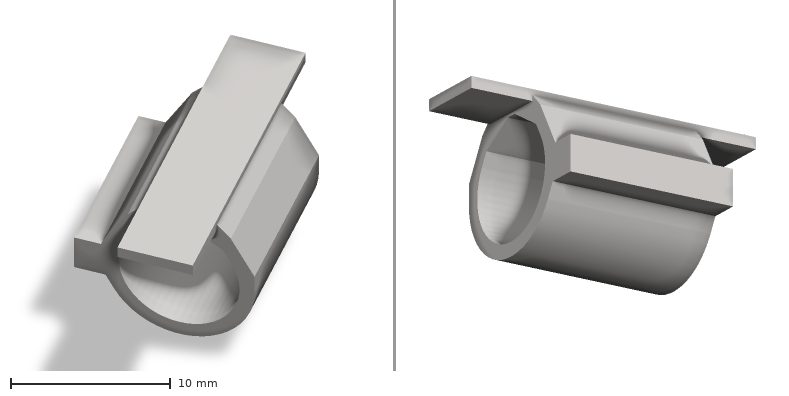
import cadquery as cq
import math

bore_radius = 4.0
wall = 1.0
sleeve_length = 12.0
outer_radius = bore_radius + wall

side_angle = math.radians(30)
roof_angle = math.radians(60)
bore_top = 4.39

shoulder_low_z = 4.075

plate_width = 5.0
plate_length = 21.0
plate_thickness = 0.8
plate_top = bore_top + wall
plate_bottom = plate_top - plate_thickness

tab_end_x = -7.0
tab_top = 1.0
tab_bottom = -1.5


def tangent_x(radius, normal_angle, z):
    """X at height z on the line tangent to a circle about the origin."""
    return (radius - z * math.sin(normal_angle)) / math.cos(normal_angle)


def extrude_centred(sketch, length):
    """Extrude an XZ sketch equally to both sides of the XZ plane."""
    return sketch.extrude(length / 2, both=True)


def make_body():
    """Outer body: round below, with steep flats, shoulders and the side tab."""
    half_plate = plate_width / 2
    shoulder_x = tangent_x(outer_radius, side_angle, shoulder_low_z)
    shoulder_high_z = shoulder_low_z + shoulder_x - half_plate
    flank_top_z = outer_radius * math.tan(side_angle / 2)
    tangent_point = (
        -outer_radius * math.cos(side_angle),
        -outer_radius * math.sin(side_angle),
    )
    sketch = (
        cq.Workplane("XZ")
        .moveTo(half_plate, plate_bottom)
        .lineTo(half_plate, shoulder_high_z)
        .lineTo(shoulder_x, shoulder_low_z)
        .lineTo(outer_radius, flank_top_z)
        .lineTo(outer_radius, 0)
        .threePointArc((0, -outer_radius), tangent_point)
        .lineTo(-tangent_x(outer_radius, -side_angle, tab_bottom), tab_bottom)
        .lineTo(tab_end_x, tab_bottom)
        .lineTo(tab_end_x, tab_top)
        .lineTo(-tangent_x(outer_radius, side_angle, tab_top), tab_top)
        .lineTo(-shoulder_x, shoulder_low_z)
        .lineTo(-half_plate, shoulder_high_z)
        .lineTo(-half_plate, plate_bottom)
        .close()
    )
    return extrude_centred(sketch, sleeve_length)


def make_bore():
    """Round bore with a peaked roof that ends in a narrow flat."""
    start_x = bore_radius * math.cos(side_angle)
    start_z = bore_radius * math.sin(side_angle)
    corner = bore_radius / (math.cos(side_angle) + math.sin(side_angle))
    flat_x = tangent_x(bore_radius, roof_angle, bore_top)
    sketch = (
        cq.Workplane("XZ")
        .moveTo(start_x, start_z)
        .threePointArc((0, -bore_radius), (-start_x, start_z))
        .lineTo(-corner, corner)
        .lineTo(-flat_x, bore_top)
        .lineTo(flat_x, bore_top)
        .lineTo(corner, corner)
        .close()
    )
    return extrude_centred(sketch, sleeve_length)


def make_plate():
    """Flat plate along the top, overhanging both ends of the sleeve."""
    plate_middle_z = plate_top - plate_thickness / 2
    plate = cq.Workplane("XY").box(plate_width, plate_length, plate_thickness)
    return plate.translate((0, 0, plate_middle_z))


result = make_body().cut(make_bore()).union(make_plate())